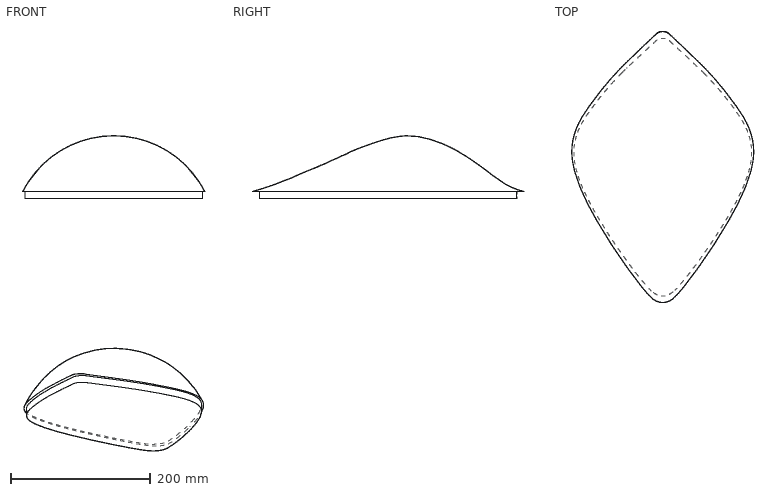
import cadquery as cq

LENGTH = 389.2
WIDTH = 261.5
SKIRT_HEIGHT = 10.0
SKIRT_LENGTH = 369.8
SKIRT_WIDTH = 255.5
SKIRT_OVERLAP = 0.5

HALF_LENGTH = LENGTH / 2
HALF_WIDTH = WIDTH / 2
HEIGHT = 90.3
DOME_HEIGHT = HEIGHT - SKIRT_HEIGHT

STATIONS = [
    (-192.5, 8.5, 0.8),
    (-188.8, 14.8, 2.0),
    (-181.0, 22.5, 4.3),
    (-163.5, 37.0, 10.0),
    (-140.0, 54.0, 19.5),
    (-109.0, 75.0, 32.7),
    (-78.0, 94.0, 46.5),
    (-46.7, 111.0, 60.5),
    (-15.5, 123.8, 71.5),
    (23.5, HALF_WIDTH, DOME_HEIGHT),
    (54.5, 124.5, 76.5),
    (85.5, 107.0, 65.5),
    (116.8, 83.3, 47.5),
    (144.0, 58.8, 28.0),
    (163.5, 39.0, 14.0),
    (181.0, 20.2, 4.5),
    (188.8, 12.0, 2.0),
    (192.5, 7.8, 0.8),
]


def dome_section(y, half_width, crest):
    """Circular segment across the part, standing on the rim plane."""
    left = cq.Vector(-half_width, y, SKIRT_HEIGHT)
    top = cq.Vector(0, y, SKIRT_HEIGHT + crest)
    right = cq.Vector(half_width, y, SKIRT_HEIGHT)
    arc = cq.Edge.makeThreePointArc(left, top, right)
    base = cq.Edge.makeLine(right, left)
    return cq.Wire.assembleEdges([arc, base])


def make_dome():
    """Smooth loft through the stations, closing to a point at each tip."""
    front_tip = cq.Vertex.makeVertex(0, -HALF_LENGTH, SKIRT_HEIGHT)
    back_tip = cq.Vertex.makeVertex(0, HALF_LENGTH, SKIRT_HEIGHT)
    sections = [dome_section(*station) for station in STATIONS]
    dome = cq.occ_impl.shapes.loft(
        front_tip,
        *sections,
        back_tip,
        cap=True,
        parametrization="chordal",
        compat=False,
    )
    return cq.Workplane(obj=dome)


def make_skirt():
    """Straight-walled base whose outline is the rim outline, drawn inward."""
    width_ratio = SKIRT_WIDTH / WIDTH
    length_ratio = SKIRT_LENGTH / LENGTH
    right_side = [(w * width_ratio, y * length_ratio) for y, w, _ in STATIONS]
    left_side = [(-x, y) for x, y in reversed(right_side)]
    front_tip = (0, -SKIRT_LENGTH / 2)
    back_tip = (0, SKIRT_LENGTH / 2)
    outline = [front_tip, *right_side, back_tip, *left_side]
    wall_height = SKIRT_HEIGHT + SKIRT_OVERLAP
    return cq.Workplane("XY").spline(outline, periodic=True).close().extrude(wall_height)


result = make_dome().union(make_skirt())